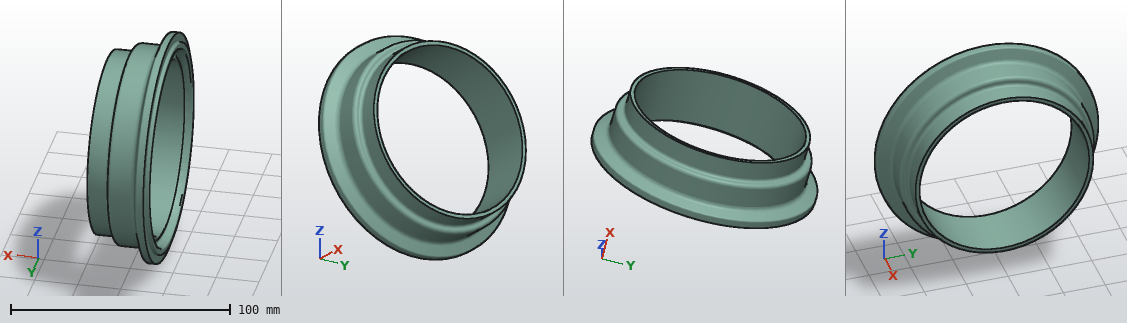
import cadquery as cq
import math

length = 30.0
flange_radius = 106 / 2
hub_radius = 93.0 / 2
neck_radius = 85.0 / 2
bore_radius = 81.0 / 2
spigot_radius = 97.6 / 2

flange_front = 1.6
rim_end = 5.2
hub_end = 20.0
flange_taper = math.radians(20)
taper_end = rim_end + (flange_radius - hub_radius) * math.tan(flange_taper)

groove_radius = 45.7
groove_bottom_radius = 43.9
groove_depth = 4.0
lip_radius = 41.9
lip_depth = 3.0
lip_rise = math.tan(math.radians(50))

spigot_round = 0.5
spigot_root_round = 0.3
rim_round = 1.0
flange_root_round = 2.0
hub_round = 1.8
neck_root_round = 1.5
groove_mouth_round = 0.6
lip_outer_round = 0.6
lip_inner_round = 0.5

tolerance = 0.001


def ring_body():
    profile = (
        cq.Workplane("XY")
        .moveTo(0, groove_radius)
        .lineTo(0, spigot_radius)
        .lineTo(flange_front, spigot_radius)
        .lineTo(flange_front, flange_radius)
        .lineTo(rim_end, flange_radius)
        .lineTo(taper_end, hub_radius)
        .lineTo(hub_end, hub_radius)
        .lineTo(hub_end, neck_radius)
        .lineTo(length, neck_radius)
        .lineTo(length, bore_radius)
        .lineTo(lip_depth, bore_radius)
        .lineTo(lip_depth, lip_radius)
        .spline(
            [(groove_depth, groove_bottom_radius), (0, groove_radius)],
            tangents=[(lip_rise, 1), (-1, 0)],
            includeCurrent=True,
        )
        .close()
    )
    return profile.revolve(360, (0, 0, 0), (1, 0, 0))


def round_edge(body, position, radius, round_size):
    """Round the circular edge of the given radius at the given place along X."""
    start = cq.Vector(position, radius, 0)

    def is_wanted(edge):
        return (edge.startPoint() - start).Length < tolerance

    return body.edges("%CIRCLE").filter(is_wanted).fillet(round_size)


edge_rounds = (
    (0, groove_radius, groove_mouth_round),
    (0, spigot_radius, spigot_round),
    (flange_front, spigot_radius, spigot_root_round),
    (rim_end, flange_radius, rim_round),
    (taper_end, hub_radius, flange_root_round),
    (hub_end, hub_radius, hub_round),
    (hub_end, neck_radius, neck_root_round),
    (lip_depth, lip_radius, lip_outer_round),
    (lip_depth, bore_radius, lip_inner_round),
)

result = ring_body()
for position, radius, round_size in edge_rounds:
    result = round_edge(result, position, radius, round_size)